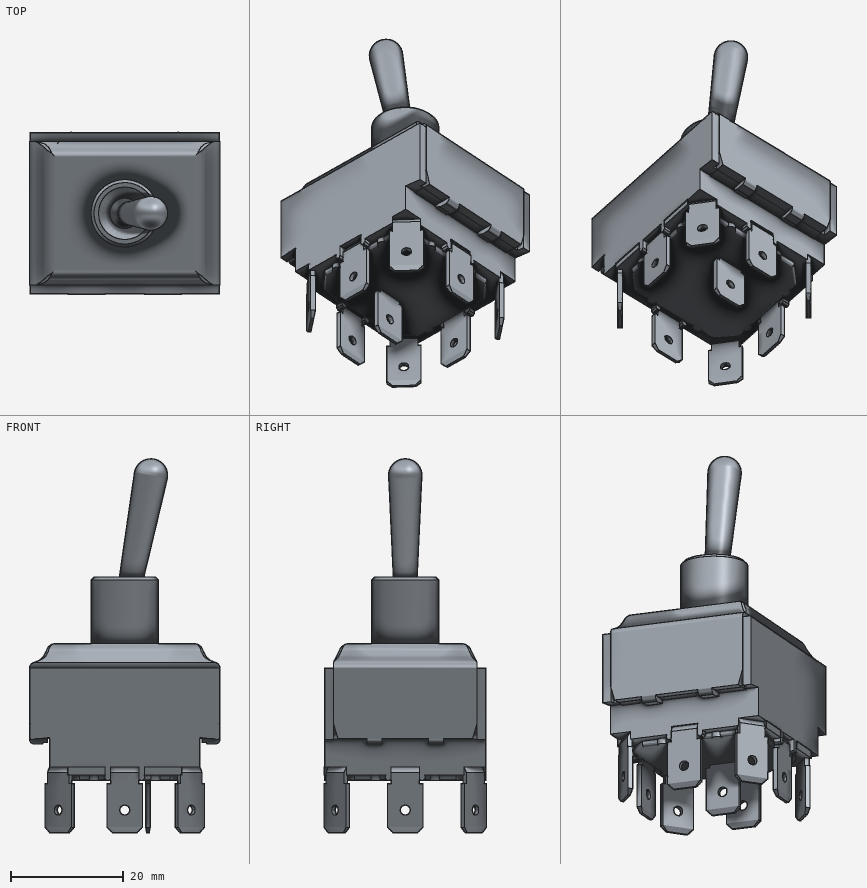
import cadquery as cq
import math


body_length = 33.7
body_width = 28.7
body_top = 29.3
lower_length = 26.8
ledge_inner_z = 17.0
ledge_outer_z = 16.6
body_bottom = 11.7

base_bottom = 10.3
lip_bottom = 9.3
lip_inset = 2.0
lip_corner = 3.3
lip_round = 0.45
front_pad_proud = 0.1
front_pad_outer = 10.1
rib_width = 1.0
rib_depth = 1.3
rib_chamfer = 0.3
pin_diameter = 2.0
pin_inset = 0.6
pin_x = 5.45
pin_y = 5.25

cover_length = 34.0
cover_width = 25.6
cover_top = 33.7
side_plate_bottom = 16.8
plate_recess = 1.45
plate_taper_height = 2.7
plate_taper_width = 0.8
mitre_easing = 0.25
tab_width = 2.7
tab_y = 5.45
tab_bottom = 15.8
tab_inner_x = 13.8

bushing_diameter = 12.0
bushing_top = 45.6
bushing_chamfer = 0.5
bore_top_diameter = 9.3
bore_bottom_diameter = 5.4
bore_bottom = 41.6
pivot_z = 39.25
lever_tilt = 10.8
lever_base_diameter = 3.7
lever_tip_diameter = 6.0
overall_height = 66.65

side_blade_width = 6.3
corner_blade_width = 6.1
neck_width = 5.0
blade_thickness = 0.85
shoulder_z = 8.8
tip_chamfer = 1.0
tip_bevel = 0.2
bend_height = 1.0
bend_depth = 0.6
hole_diameter = 1.7
hole_z = 4.05
side_terminal_offset = 13.2
corner_terminal_x = 11.6
corner_terminal_y = 12.2
corner_terminal_turn = 40.0
center_terminal_x = 4.1


def block(length, width, bottom, top):
    return cq.Workplane("XY").box(length, width, top - bottom, (True, True, False)).translate((0, 0, bottom))


def make_body():
    """Block with a narrower lower part and sloping ledges, recessed at both ends for the cover."""
    half = body_length / 2
    half_lower = lower_length / 2
    outline = [
        (-half_lower, body_bottom),
        (half_lower, body_bottom),
        (half_lower, ledge_inner_z),
        (half, ledge_outer_z),
        (half, body_top),
        (-half, body_top),
        (-half, ledge_outer_z),
        (-half_lower, ledge_inner_z),
    ]
    body = cq.Workplane("XZ").polyline(outline).close().extrude(body_width / 2, both=True)
    recess = block(plate_recess, cover_width, body_bottom, body_top)
    for side in (-1, 1):
        body = body.cut(recess.translate((side * (half - plate_recess / 2), 0, 0)))
    return body


def make_cover():
    """Raised lid: the long and the short profile crossed, so that they meet in mitres."""
    half = cover_length / 2
    half_width = cover_width / 2
    shoulder_z = 30.4
    flank_bottom_z = 31.4
    flank_top_z = 32.3
    rim_middle_z = cover_top - 0.4
    shoulder_x = half - 0.85
    flank_bottom_x = half - 2.45
    flank_top_x = half - 3.0
    flat_x = half - 4.6
    flank_top_y = half_width - 1.0
    flat_y = half_width - 2.8

    across_x = (
        cq.Workplane("XZ")
        .moveTo(0, side_plate_bottom)
        .lineTo(half, side_plate_bottom)
        .lineTo(half, body_top)
        .threePointArc((half - 0.25, shoulder_z - 0.4), (shoulder_x, shoulder_z))
        .threePointArc((half - 1.8, shoulder_z + 0.4), (flank_bottom_x, flank_bottom_z))
        .lineTo(flank_top_x, flank_top_z)
        .threePointArc((half - 3.6, rim_middle_z), (flat_x, cover_top))
        .lineTo(0, cover_top)
        .close()
        .extrude(half_width, both=True)
    )
    across_x = across_x.union(across_x.mirror("YZ"))
    across_y = (
        cq.Workplane("YZ")
        .moveTo(0, side_plate_bottom)
        .lineTo(half_width - plate_taper_width, side_plate_bottom)
        .lineTo(half_width, side_plate_bottom + plate_taper_height)
        .lineTo(half_width, shoulder_z)
        .lineTo(flank_top_y, flank_top_z)
        .threePointArc((half_width - 1.65, rim_middle_z), (flat_y, cover_top))
        .lineTo(0, cover_top)
        .close()
        .extrude(half, both=True)
    )
    across_y = across_y.union(across_y.mirror("XZ"))
    cover = across_x.intersect(across_y)

    def diagonal(x, y):
        return (x + y) * math.sqrt(0.5)

    cutter_reach = 23.3
    cutter_width = 5.3
    flank_bottom_y = half_width - 0.5
    cutter = (
        cq.Workplane("XZ")
        .moveTo(diagonal(flat_x, flat_y), cover_top)
        .threePointArc(
            (diagonal(half - 3.6, half_width - 1.65) - mitre_easing / 2, rim_middle_z),
            (diagonal(flank_top_x, flank_top_y) - mitre_easing, flank_top_z),
        )
        .lineTo(diagonal(flank_bottom_x, flank_bottom_y) - mitre_easing, flank_bottom_z)
        .threePointArc(
            (diagonal(half - 1.8, half_width - 0.2) - mitre_easing / 2, shoulder_z + 0.4),
            (diagonal(shoulder_x, half_width), shoulder_z),
        )
        .lineTo(cutter_reach, shoulder_z)
        .lineTo(cutter_reach, cover_top)
        .close()
        .extrude(cutter_width, both=True)
    )
    for turn in (45, 135, 225, 315):
        cover = cover.cut(cutter.rotate((0, 0, 0), (0, 0, 1), turn))
    return cover


def make_clip_tabs():
    """Two tabs under each end plate, bent in below the housing ledge."""
    half = cover_length / 2
    step_z = tab_bottom + 0.25
    bend_end_x = half - 0.7
    step_start_x = half - 2.25
    step_end_x = half - 2.5
    tab = (
        cq.Workplane("XZ")
        .moveTo(half, side_plate_bottom)
        .threePointArc((half - 0.2, tab_bottom + 0.4), (bend_end_x, tab_bottom))
        .lineTo(step_start_x, tab_bottom)
        .lineTo(step_end_x, step_z)
        .lineTo(tab_inner_x, step_z)
        .lineTo(tab_inner_x, ledge_inner_z)
        .lineTo(half - plate_recess, ledge_inner_z)
        .lineTo(half - plate_recess, side_plate_bottom)
        .close()
        .extrude(tab_width / 2, both=True)
    )
    pair = tab.translate((0, tab_y, 0)).union(tab.translate((0, -tab_y, 0)))
    return pair.union(pair.mirror("YZ"))


def make_terminal(blade_width):
    """Blade standing on Z = 0 with its outer face towards -Y and its centre on the Z axis."""
    outline = [
        (blade_width / 2 - tip_chamfer, 0),
        (blade_width / 2, tip_chamfer),
        (blade_width / 2, shoulder_z),
        (neck_width / 2, shoulder_z),
        (neck_width / 2, body_bottom),
    ]
    outline += [(-x, z) for x, z in reversed(outline)]
    blade = cq.Workplane("XZ").polyline(outline).close().extrude(blade_thickness / 2, both=True)
    half = blade_thickness / 2
    section = [
        (-half + tip_bevel, 0),
        (half - tip_bevel, 0),
        (half, tip_chamfer),
        (half, body_bottom),
        (-half + bend_depth, body_bottom),
        (-half, body_bottom - bend_height),
        (-half, tip_chamfer),
    ]
    envelope = cq.Workplane("YZ").polyline(section).close().extrude(blade_width, both=True)
    hole = cq.Workplane("XZ").center(0, hole_z).circle(hole_diameter / 2).extrude(blade_thickness, both=True)
    return blade.intersect(envelope).cut(hole)


def place(shape, x, y, turn):
    return shape.rotate((0, 0, 0), (0, 0, 1), turn).translate((x, y, 0))


side_places = [
    (0, -side_terminal_offset, 0),
    (side_terminal_offset, 0, 90),
    (0, side_terminal_offset, 180),
    (-side_terminal_offset, 0, 270),
]
corner_places = [
    (corner_terminal_x, -corner_terminal_y, corner_terminal_turn),
    (corner_terminal_x, corner_terminal_y, 180 - corner_terminal_turn),
    (-corner_terminal_x, corner_terminal_y, 180 + corner_terminal_turn),
    (-corner_terminal_x, -corner_terminal_y, -corner_terminal_turn),
]


def make_base():
    """Stepped base with a pocket in front of each rim terminal and ribs beside the side ones."""
    base = block(lower_length, body_width, base_bottom, body_bottom)
    pad_inner = neck_width / 2 + rib_width
    for side in (-1, 1):
        pad = block(front_pad_outer - pad_inner, rib_depth, base_bottom, body_bottom)
        pad_y = -body_width / 2 - front_pad_proud + rib_depth / 2
        base = base.union(pad.translate((side * (pad_inner + front_pad_outer) / 2, pad_y, 0)))

    pocket_reach = 5.3
    pocket = block(neck_width, pocket_reach, base_bottom - 0.65, body_bottom)
    pocket = pocket.translate((0, blade_thickness / 2 - pocket_reach / 2, 0))
    for x, y, turn in side_places + corner_places:
        base = base.cut(place(pocket, x, y, turn))

    lip_length = lower_length - 2 * lip_inset
    lip_width = body_width - 2 * lip_inset
    lip = block(lip_length, lip_width, lip_bottom, base_bottom).edges("|Z").chamfer(lip_corner)
    base = base.union(lip.faces("<Z").edges().fillet(lip_round))

    pin = cq.Workplane("XY").circle(pin_diameter / 2).extrude(base_bottom - lip_bottom)
    pin = pin.translate((0, 0, lip_bottom))
    for side in (-1, 1):
        for end in (-1, 1):
            base = base.union(pin.translate((side * pin_x, end * (lip_width / 2 - pin_inset), 0)))
            base = base.union(pin.translate((side * (lip_length / 2 - pin_inset), end * pin_y, 0)))

    rib = block(rib_width, rib_depth, lip_bottom, body_bottom)
    rib = rib.faces("<Z").edges("|Y").chamfer(rib_chamfer)
    rib_offset = (neck_width + rib_width) / 2
    for side in (-1, 1):
        for x, y, turn in side_places:
            half_side = lower_length / 2 if x else body_width / 2
            shifted = rib.translate((side * rib_offset, rib_depth / 2 - half_side, 0))
            base = base.union(place(shifted, 0, 0, turn))
    return base


def make_bushing():
    bushing = cq.Workplane("XY").circle(bushing_diameter / 2).extrude(bushing_top - body_top)
    bushing = bushing.translate((0, 0, body_top))
    return bushing.faces(">Z").edges().chamfer(bushing_chamfer)


def make_bore():
    """Conical opening of the bushing, ending at the ball that seals it."""
    outline = [
        (0, bore_bottom),
        (bore_bottom_diameter / 2, bore_bottom),
        (bore_top_diameter / 2, bushing_top),
        (0, bushing_top),
    ]
    return cq.Workplane("XZ").polyline(outline).close().revolve(360, (0, 0), (0, 1))


def make_lever():
    """Tapered lever with a ball end, leaning towards +X out of a ball that fills the bore."""
    tip_radius = lever_tip_diameter / 2
    reach = (overall_height - tip_radius - pivot_z) / math.cos(math.radians(lever_tilt))
    lever = (
        cq.Workplane("XZ")
        .lineTo(lever_base_diameter / 2, 0)
        .lineTo(tip_radius, reach)
        .threePointArc(
            (tip_radius * math.sqrt(0.5), reach + tip_radius * math.sqrt(0.5)),
            (0, reach + tip_radius),
        )
        .close()
        .revolve(360, (0, 0), (0, 1))
    )
    lever = lever.rotate((0, 0, 0), (0, 1, 0), lever_tilt).translate((0, 0, pivot_z))
    ball = cq.Workplane("XY").sphere(bore_bottom_diameter / 2).translate((0, 0, bore_bottom))
    return lever.union(ball)


result = make_body().union(make_cover()).union(make_clip_tabs()).union(make_base())
result = result.union(make_bushing()).cut(make_bore()).union(make_lever())
side_terminal = make_terminal(side_blade_width)
for x, y, turn in side_places + [(center_terminal_x, 0, 90)]:
    result = result.union(place(side_terminal, x, y, turn))
corner_terminal = make_terminal(corner_blade_width)
for x, y, turn in corner_places:
    result = result.union(place(corner_terminal, x, y, turn))